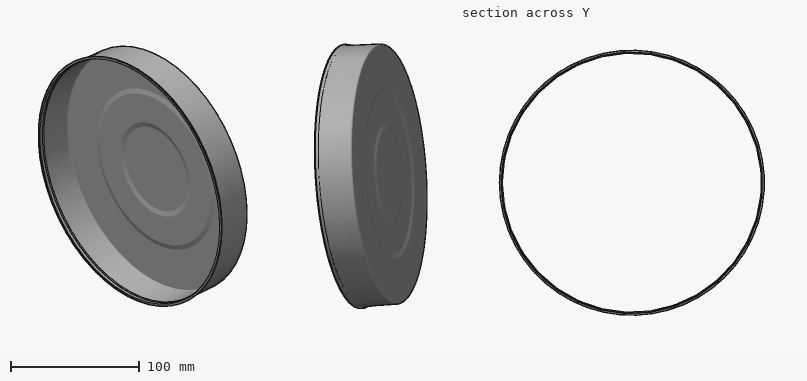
import cadquery as cq
import math

outer_radius = 103.0
height = 30.0
wall = 1.34
floor_thickness = 1.5
draft_angle = 1.0
back_edge_radius = 1.5
floor_corner_radius = 0.5

flange_width = 1.0
flange_thickness = 0.8
flange_root_radius = 0.5

mouth_widening = 0.5
mouth_cylinder_depth = 2.7
mouth_cone_depth = 1.0

ridge_outer_radius = 66.5
ridge_inner_radius = 35.0
ridge_slope_width = 4.0
ridge_height = 1.0

front_y = -height / 2
back_y = height / 2
floor_y = back_y - floor_thickness
flange_back_y = front_y + flange_thickness
draft_slope = math.tan(math.radians(draft_angle))
wall_front_radius = outer_radius - flange_width
mouth_radius = wall_front_radius - wall + mouth_widening
mouth_end_y = front_y + mouth_cylinder_depth + mouth_cone_depth


def wall_radius(y):
    """Outside radius of the drafted wall at the given depth."""
    return wall_front_radius - (y - front_y) * draft_slope


floor_radius = wall_radius(floor_y) - wall
flange_root_start = wall_radius(flange_back_y + flange_root_radius)


def ridge_points(base_y):
    """Section of the pressed ring, from the inside outwards, on a face at base_y."""
    crest_y = base_y - ridge_height
    return [
        (ridge_inner_radius, base_y),
        (ridge_inner_radius + ridge_slope_width, crest_y),
        (ridge_outer_radius - ridge_slope_width, crest_y),
        (ridge_outer_radius, base_y),
    ]


half_section = (
    cq.Workplane("XY")
    .moveTo(0, back_y)
    .polyline(ridge_points(back_y), includeCurrent=True)
    .lineTo(wall_radius(back_y) - back_edge_radius, back_y)
    .radiusArc((wall_radius(back_y), back_y - back_edge_radius), back_edge_radius)
    .lineTo(flange_root_start, flange_back_y + flange_root_radius)
    .radiusArc((flange_root_start + flange_root_radius, flange_back_y), -flange_root_radius)
    .lineTo(outer_radius, flange_back_y)
    .lineTo(outer_radius, front_y)
    .lineTo(mouth_radius, front_y)
    .lineTo(mouth_radius, front_y + mouth_cylinder_depth)
    .lineTo(wall_radius(mouth_end_y) - wall, mouth_end_y)
    .lineTo(floor_radius, floor_y - floor_corner_radius)
    .radiusArc((floor_radius - floor_corner_radius, floor_y), -floor_corner_radius)
    .polyline(ridge_points(floor_y)[::-1], includeCurrent=True)
    .lineTo(0, floor_y)
    .close()
)

result = half_section.revolve(360, (0, 0, 0), (0, 1, 0))